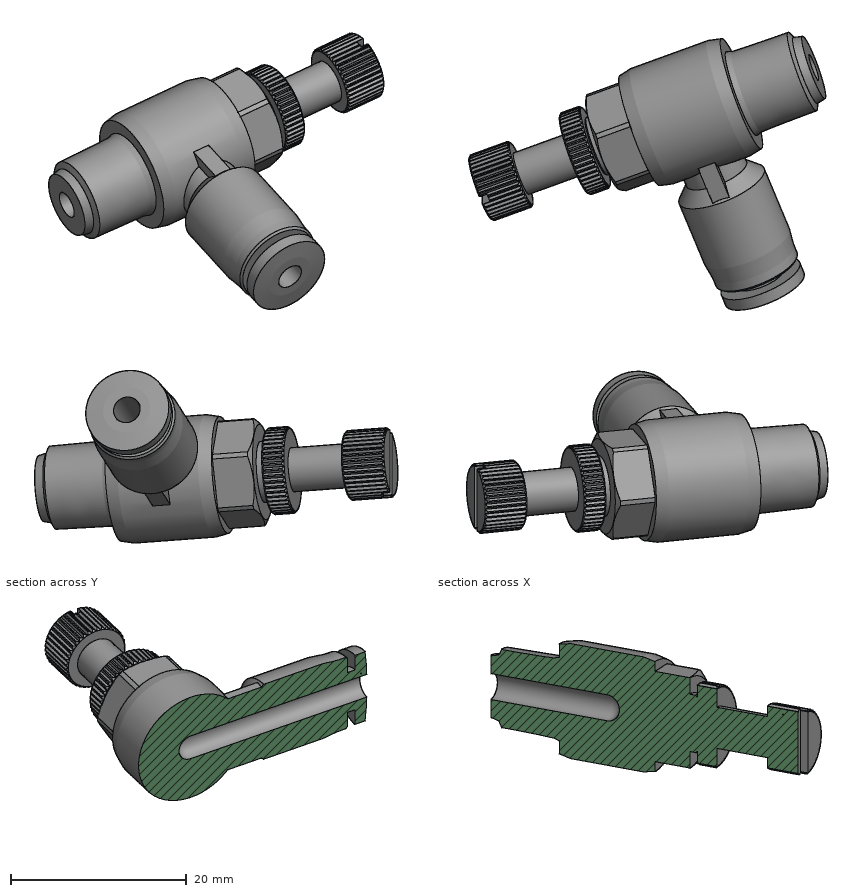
import cadquery as cq
import math


total_length = 40.7
tip_radius = 3.8
tip_step_y = 1.0
tip_step_radius = 4.03
thread_start_y = 1.4
thread_start_radius = 4.75
thread_end_y = 8.15
thread_end_radius = 4.9
thread_collar_radius = 5.1

body_radius = 7.0
body_end_radius = 6.67
body_start_y = 8.85
body_end_y = 21.25
body_taper_length = 1.5

hex_flats = 11.0
hex_corner_radius = 6.2
hex_end_y = 25.75
hex_crown_radius = 5.45
hex_crown_height = 0.4

collar_radius = 3.5
collar_chamfer = 0.15
rod_radius = 2.52

knurl_depth = 0.25
knurl_chamfer = 0.25
nut_start_y = 26.65
nut_end_y = 29.25
nut_radius = 4.95
nut_teeth = 48
knob_start_y = 35.75
knob_radius = 4.0
knob_teeth = 40
slot_width = 0.98
slot_depth = 0.98

branch_y = (body_start_y + body_end_y) / 2
branch_end_x = 23.45
neck_radius = 3.7
neck_end_x = 8.1
sleeve_start_x = 9.7
sleeve_radius = 5.25
sleeve_taper_x = 17.62
sleeve_rim_x = 19.6
sleeve_rim_radius = 5.0
sleeve_end_x = 20.88
sleeve_chamfer = 0.25
release_neck_radius = 2.8
release_start_x = 21.85
release_edge_x = 23.25
release_radius = 4.85
release_face_radius = 2.73
rib_width = 2.05
rib_half_height = 4.95

bore_radius = 1.55


def revolve_about_y(profile):
    """Solid of revolution about Y from (radius, y) points, closed along the axis."""
    points = [(0, profile[0][1])] + profile + [(0, profile[-1][1])]
    return cq.Workplane("XY").polyline(points).close().revolve(360, (0, 0), (0, 1))


def revolve_about_x(profile):
    """Solid of revolution about X from (x, radius) points, closed along the axis."""
    points = [(profile[0][0], 0)] + profile + [(profile[-1][0], 0)]
    return cq.Workplane("XY").polyline(points).close().revolve(360, (0, 0), (1, 0))


def plane_at(y):
    """Plane across the main axis whose extrusions run toward +Y."""
    return cq.Workplane(cq.Plane(origin=(0, y, 0), xDir=(1, 0, 0), normal=(0, 1, 0)))


def cylinder_y(radius, start_y, end_y):
    return plane_at(start_y).circle(radius).extrude(end_y - start_y)


def make_stem():
    """Threaded tip and barrel-shaped body."""
    return revolve_about_y([
        (tip_radius, 0),
        (tip_step_radius, tip_step_y),
        (thread_start_radius, thread_start_y),
        (thread_end_radius, thread_end_y),
        (thread_collar_radius, body_start_y),
        (body_end_radius, body_start_y),
        (body_radius, body_start_y + body_taper_length),
        (body_radius, body_end_y - body_taper_length),
        (body_end_radius, body_end_y),
    ])


def make_hex():
    """Hexagon with flats facing +Z and -Z, rounded corners and a crowned outer end."""
    across_corners = hex_flats / math.cos(math.pi / 6)
    prism = plane_at(body_end_y).polygon(6, across_corners).extrude(hex_end_y - body_end_y)
    crown = revolve_about_y([
        (hex_corner_radius, body_end_y),
        (hex_corner_radius, hex_end_y - hex_crown_height),
        (hex_crown_radius, hex_end_y),
    ])
    return prism.intersect(crown)


def make_collar():
    """Short collar between the hexagon and the lock nut."""
    return revolve_about_y([
        (collar_radius, hex_end_y),
        (collar_radius, nut_start_y - collar_chamfer),
        (collar_radius - collar_chamfer, nut_start_y),
    ])


def make_knurled_disc(radius, teeth, start_y, end_y):
    """Disc with right-angled V grooves along Y and both rims chamfered."""
    pitch_angle = 2 * math.pi / teeth
    half_groove_angle = knurl_depth / radius
    outline = []
    for i in range(teeth):
        middle = i * pitch_angle
        for r, angle in (
            (radius, middle - half_groove_angle),
            (radius - knurl_depth, middle),
            (radius, middle + half_groove_angle),
        ):
            outline.append((r * math.cos(angle), r * math.sin(angle)))
    toothed = plane_at(start_y).polyline(outline).close().extrude(end_y - start_y)
    blank = cylinder_y(radius, start_y, end_y).edges().chamfer(knurl_chamfer)
    return toothed.intersect(blank)


def make_knob():
    """Knurled knob with a screwdriver slot running through along Z."""
    knob = make_knurled_disc(knob_radius, knob_teeth, knob_start_y, total_length)
    slot = cq.Workplane("XY").box(slot_width, 2 * slot_depth, 3 * knob_radius)
    return knob.cut(slot.translate((0, total_length, 0)))


def make_branch():
    """Neck, sleeve and release button of the tube connection."""
    turned = revolve_about_x([
        (0, neck_radius),
        (neck_end_x, neck_radius),
        (sleeve_start_x, sleeve_radius),
        (sleeve_taper_x, sleeve_radius),
        (sleeve_rim_x, sleeve_rim_radius),
        (sleeve_end_x - sleeve_chamfer, sleeve_rim_radius),
        (sleeve_end_x, sleeve_rim_radius - sleeve_chamfer),
        (sleeve_end_x, release_neck_radius),
        (release_start_x, release_neck_radius),
        (release_start_x, release_radius),
        (release_edge_x, release_radius),
        (branch_end_x, release_face_radius),
    ])
    rib = cq.Workplane("XY").box(
        sleeve_start_x, rib_width, 2 * rib_half_height, centered=(False, True, True)
    )
    return turned.union(rib).translate((0, branch_y, 0))


def cut_passage(part):
    """Bore from the tip, turning round a spherical elbow and out through the branch."""
    inlet = cylinder_y(bore_radius, 0, branch_y)
    elbow = cq.Workplane("XY").sphere(bore_radius).translate((0, branch_y, 0))
    outlet = cq.Workplane("YZ").center(branch_y, 0).circle(bore_radius).extrude(branch_end_x)
    return part.cut(inlet).cut(outlet).cut(elbow)


solid_fitting = (
    make_stem()
    .union(make_branch())
    .union(make_hex())
    .union(make_collar())
    .union(make_knurled_disc(nut_radius, nut_teeth, nut_start_y, nut_end_y))
    .union(cylinder_y(rod_radius, nut_end_y, knob_start_y))
    .union(make_knob())
)
result = cut_passage(solid_fitting)